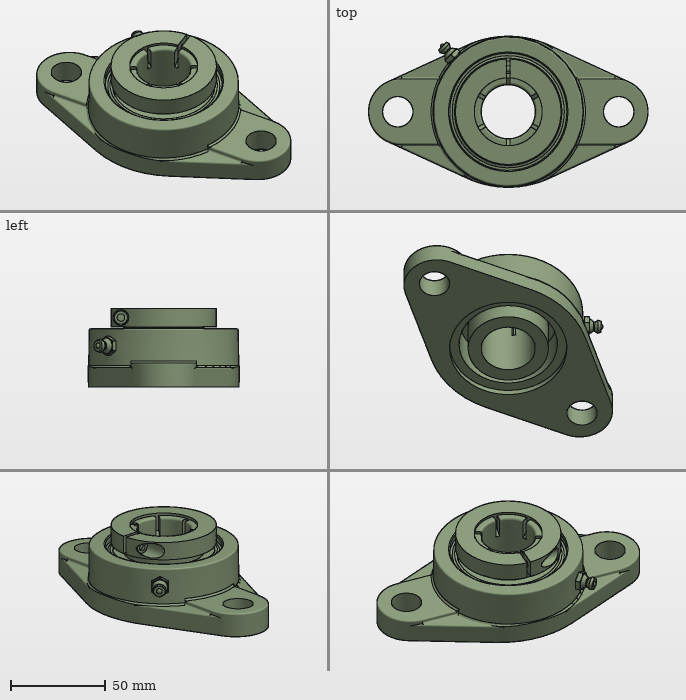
import cadquery as cq
import math

flange_length = 148
flange_width = 80.0
end_radius = 17.5
end_center_x = flange_length / 2 - end_radius
side_radius = 51.8
side_center_y = flange_width / 2 - side_radius
bolt_hole_x = 58.5
bolt_hole_diameter = 16.0

wing_height = 10.5
pad_height = 12.9
edge_round = 0.9
pad_foot_fillet = 0.9

body_draft = 1
body_top = 31.0
body_edge_round = 0.9
body_foot_fillet = 1.0
bore_diameter = 62.0
bore_mouth_diameter = 63.2
bore_chamfer = (bore_mouth_diameter - bore_diameter) / 2
bore_chamfer_angle = 45

ring_recess = 3.5
ring_bottom = ring_recess
ring_top = body_top - ring_recess
ring_lip_foot_diameter = 59.3
ring_lip_top_diameter = 56.8
ring_lip_height = 0.5
seal_seat_diameter = 54.0
seal_seat_depth = 0.9
race_diameter = 52.0
seal_thickness = 2.0

shaft_diameter = 28.5
shaft_edge_round = 1.3
shoulder_diameter = 42.5
shoulder_chamfer_width = 1.0
shoulder_chamfer_height = 0.5
neck_diameter = 36.0
inner_ring_top = 40.4
slot_width = 2.0
slot_floor_at_bore = 29.3
slot_count = 6
slot_pitch = 360 / slot_count

collar_diameter = 55.8
collar_bottom = 32.0
collar_top = 41.7
screw_y = 22.6
screw_z = (collar_bottom + collar_top) / 2
screw_diameter = 3.3
screw_end_x = 7.4
head_diameter = 7.0
head_seat_x = -4.1
head_height = 4.0
counterbore_diameter = 8.3
socket_diameter = 4.0
socket_depth = 1.8

nipple_angle = 135
nipple_z = 21.9
shank_diameter = 5.9
shank_start = 34
hex_start = 40.3
hex_end = 42.9
hex_flats = 9.0
hex_chamfer = 0.5
cone_base_diameter = 8.3
cone_top_diameter = 6.0
cone_end = 44.5
neck_groove_diameter = 4.7
neck_groove_start = 45.1
neck_groove_end = 45.7
rim_diameter = 7.0
rim_position = 47.5
tip_diameter = 6.0
tip_position = 49.1
ball_diameter = 3.3
ball_protrusion = 1.0


def cylinder(diameter, bottom, top):
    return cq.Workplane("XY").workplane(offset=bottom).circle(diameter / 2).extrude(top - bottom)


def tube(outer_diameter, inner_diameter, bottom, top):
    return cylinder(outer_diameter, bottom, top).cut(cylinder(inner_diameter, bottom, top))


def x_cylinder(diameter, start_x, end_x):
    """Cylinder on the clamp screw's axis, parallel to X."""
    plane = cq.Workplane("YZ", origin=(start_x, screw_y, screw_z))
    return plane.circle(diameter / 2).extrude(end_x - start_x)


def turn_to_nipple(solid):
    """Place a shape built along +Z from the origin on the nipple's axis."""
    lying = solid.rotate((0, 0, 0), (0, 1, 0), 90)
    return lying.rotate((0, 0, 0), (0, 0, 1), nipple_angle).translate((0, 0, nipple_z))


def round_top_edge(solid, radius):
    return solid.faces(">Z").edges().fillet(radius)


def flange_prism(height):
    """Flange outline extruded to a height."""
    center_gap = math.hypot(end_center_x, side_center_y)
    gap_angle = math.atan2(-side_center_y, end_center_x)
    normal = gap_angle + math.acos((side_radius - end_radius) / center_gap)
    across = math.cos(normal)
    up = math.sin(normal)
    end_x = end_center_x + end_radius * across
    end_y = end_radius * up
    side_x = side_radius * across
    side_y = side_center_y + side_radius * up

    outline = (
        cq.Workplane("XY")
        .moveTo(end_x, -end_y)
        .threePointArc((flange_length / 2, 0), (end_x, end_y))
        .lineTo(side_x, side_y)
        .threePointArc((0, flange_width / 2), (-side_x, side_y))
        .lineTo(-end_x, end_y)
        .threePointArc((-flange_length / 2, 0), (-end_x, -end_y))
        .lineTo(-side_x, -side_y)
        .threePointArc((0, -flange_width / 2), (side_x, -side_y))
        .close()
    )
    return outline.extrude(height)


def pad_prism(height):
    """Bar with round ends that runs the whole length of the flange."""
    return cq.Workplane("XY").slot2D(flange_length, 2 * end_radius).extrude(height)


def pad_foot():
    """Bar along X whose concave fillets join the sides of the pad to the wings."""
    bend = pad_foot_fillet * (1 - math.sqrt(0.5))
    outer_y = end_radius + pad_foot_fillet
    fillet_top = wing_height + pad_foot_fillet
    half_section = (
        cq.Workplane("YZ", origin=(-end_center_x, 0, 0))
        .moveTo(0, 0)
        .lineTo(outer_y, 0)
        .lineTo(outer_y, wing_height)
        .threePointArc((end_radius + bend, wing_height + bend), (end_radius, fillet_top))
        .lineTo(0, fillet_top)
        .close()
    )
    half = half_section.extrude(2 * end_center_x)
    return half.union(half.mirror("XZ"))


def body_foot(floor):
    """Round plug with a concave fillet, joining the round body to a flat floor."""
    radius = flange_width / 2 - floor * math.tan(math.radians(body_draft))
    bend = body_foot_fillet * (1 - math.sqrt(0.5))
    fillet_top = floor + body_foot_fillet
    return (
        cq.Workplane("XZ")
        .moveTo(0, 0)
        .lineTo(radius + body_foot_fillet, 0)
        .lineTo(radius + body_foot_fillet, floor)
        .threePointArc((radius + bend, floor + bend), (radius, fillet_top))
        .lineTo(0, fillet_top)
        .close()
        .revolve(360, (0, 0, 0), (0, 1, 0))
    )


def make_housing():
    wings = round_top_edge(flange_prism(wing_height), edge_round)
    pad = round_top_edge(pad_prism(pad_height), edge_round)
    tapered_body = cq.Workplane("XY").circle(flange_width / 2).extrude(body_top, taper=body_draft)
    body = round_top_edge(tapered_body, body_edge_round)
    feet_limit = flange_prism(body_top)
    wing_foot = body_foot(wing_height).intersect(feet_limit)
    pad_end_foot = body_foot(pad_height).intersect(pad_prism(body_top))
    pad_side_foot = pad_foot().intersect(feet_limit)
    solid = wings.union(pad).union(pad_side_foot).union(body).union(wing_foot).union(pad_end_foot)

    bolt_holes = (
        cq.Workplane("XY")
        .pushPoints([(-bolt_hole_x, 0), (bolt_hole_x, 0)])
        .circle(bolt_hole_diameter / 2)
        .extrude(pad_height)
    )
    bore = cylinder(bore_diameter, 0, body_top)
    mouth = (
        cq.Workplane("XY", origin=(0, 0, body_top))
        .circle(bore_mouth_diameter / 2)
        .extrude(-bore_chamfer, taper=bore_chamfer_angle)
    )
    nipple_hole = turn_to_nipple(cylinder(shank_diameter, shank_start, hex_start))
    return solid.cut(bolt_holes).cut(bore).cut(mouth).cut(nipple_hole)


def make_outer_ring():
    lip_top = ring_top + ring_lip_height
    seat_floor = ring_top - seal_seat_depth - seal_thickness
    return (
        cq.Workplane("XZ")
        .polyline([
            (race_diameter / 2, ring_bottom),
            (bore_diameter / 2, ring_bottom),
            (bore_diameter / 2, ring_top),
            (ring_lip_foot_diameter / 2, ring_top),
            (ring_lip_top_diameter / 2, lip_top),
            (seal_seat_diameter / 2, lip_top),
            (seal_seat_diameter / 2, seat_floor),
            (race_diameter / 2, seat_floor),
        ])
        .close()
        .revolve(360, (0, 0, 0), (0, 1, 0))
    )


def make_seal():
    seal_top = ring_top - seal_seat_depth
    return tube(seal_seat_diameter, shoulder_diameter, seal_top - seal_thickness, seal_top)


def inner_ring_slot():
    """Cutter for one slot through the neck, its floor sloping down to the bore."""
    bore_radius = shaft_diameter / 2
    neck_radius = neck_diameter / 2
    profile = cq.Workplane("XZ").polyline([
        (bore_radius, slot_floor_at_bore),
        (neck_radius, collar_bottom),
        (neck_radius, inner_ring_top),
        (0, inner_ring_top),
        (0, slot_floor_at_bore),
    ])
    return profile.close().extrude(slot_width / 2, both=True)


def make_inner_ring():
    shoulder = cylinder(shoulder_diameter, 0, collar_bottom)
    shoulder = shoulder.faces(">Z").edges().chamfer(shoulder_chamfer_height, shoulder_chamfer_width)
    neck = cylinder(neck_diameter, 0, inner_ring_top)
    ring = shoulder.union(neck).cut(cylinder(shaft_diameter, 0, inner_ring_top))
    bore_edge = cq.selectors.RadiusNthSelector(0)
    ring = ring.faces(">Z").edges(bore_edge).fillet(shaft_edge_round)
    slot = inner_ring_slot()
    for index in range(slot_count):
        angle = slot_pitch / 2 + index * slot_pitch
        ring = ring.cut(slot.rotate((0, 0, 0), (0, 0, 1), angle))
    return ring


def make_collar():
    ring = tube(collar_diameter, neck_diameter, collar_bottom, collar_top)
    gap = (
        cq.Workplane("XY", origin=(0, collar_diameter / 4, collar_bottom))
        .rect(slot_width, collar_diameter / 2)
        .extrude(collar_top - collar_bottom)
    )
    screw_hole = x_cylinder(screw_diameter, head_seat_x, screw_end_x)
    counterbore = x_cylinder(counterbore_diameter, -collar_diameter / 2, head_seat_x)
    return ring.cut(gap).cut(screw_hole).cut(counterbore)


def make_clamp_screw():
    head_face_x = head_seat_x - head_height
    head = x_cylinder(head_diameter, head_face_x, head_seat_x)
    thread = x_cylinder(screw_diameter, head_seat_x, screw_end_x)
    socket = x_cylinder(socket_diameter, head_face_x, head_face_x + socket_depth)
    return head.union(thread).cut(socket)


def make_grease_nipple():
    turned = (
        cq.Workplane("XZ")
        .polyline([
            (0, shank_start),
            (shank_diameter / 2, shank_start),
            (shank_diameter / 2, hex_end),
            (cone_base_diameter / 2, hex_end),
            (cone_top_diameter / 2, cone_end),
            (neck_groove_diameter / 2, neck_groove_start),
            (neck_groove_diameter / 2, neck_groove_end),
            (rim_diameter / 2, rim_position),
            (tip_diameter / 2, tip_position),
            (0, tip_position),
        ])
        .close()
        .revolve(360, (0, 0, 0), (0, 1, 0))
    )
    corner_diameter = hex_flats / math.cos(math.pi / 6)
    chamfered_blank = cylinder(corner_diameter, hex_start, hex_end).faces(">Z").edges().chamfer(hex_chamfer)
    hexagon = (
        cq.Workplane("XY", origin=(0, 0, hex_start))
        .polygon(6, corner_diameter)
        .extrude(hex_end - hex_start)
        .intersect(chamfered_blank)
    )
    ball_center = tip_position + ball_protrusion - ball_diameter / 2
    ball = cq.Workplane("XY", origin=(0, 0, ball_center)).sphere(ball_diameter / 2)
    return turn_to_nipple(turned.union(hexagon).union(ball))


housing = make_housing()
outer_ring = make_outer_ring()
seal = make_seal()
inner_ring = make_inner_ring()
collar = make_collar()
clamp_screw = make_clamp_screw()
grease_nipple = make_grease_nipple()

bodies = [housing, outer_ring, seal, inner_ring, collar, clamp_screw, grease_nipple]
result = cq.Compound.makeCompound([body.solids().val() for body in bodies])